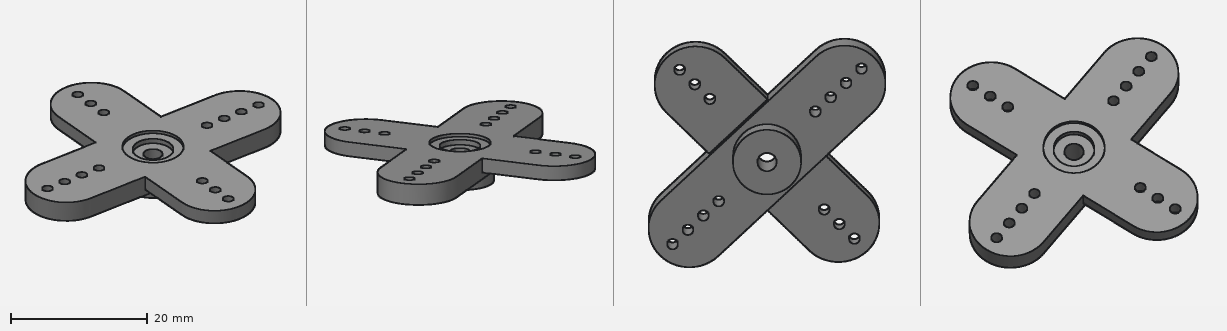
import cadquery as cq

span_x = 42.0
span_y = 43.9
arm_width = 12.05
thickness_x = 2.2
thickness_y = 3.2
total_height = 5.8

hub_diameter = 10.0

recess_diameter = 9.0
recess_depth = 0.5
counterbore_diameter = 6.0
counterbore_depth = 1.27
bore_diameter = 2.8

hole_diameter = 1.6
hole_pitch = 3.15
outer_hole_x = 18.3
outer_hole_y = 19.4
holes_per_x_arm = 3
holes_per_y_arm = 4


def arm_pair(span, thickness, angle):
    """Two opposite arms as one round-ended bar below Z = 0."""
    return cq.Workplane("XY").slot2D(span, arm_width, angle).extrude(-thickness)


def round_cut(diameter, depth):
    """Cylinder on the central axis, reaching down from the top face."""
    return cq.Workplane("XY").circle(diameter / 2).extrude(-depth)


def hole_distances(outer_distance, count):
    """Signed distances from the centre of the holes in two opposite arms."""
    distances = [outer_distance - i * hole_pitch for i in range(count)]
    return distances + [-d for d in distances]


hub = cq.Workplane("XY").circle(hub_diameter / 2).extrude(-total_height)
body = arm_pair(span_x, thickness_x, 0).union(arm_pair(span_y, thickness_y, 90)).union(hub)

body = body.cut(round_cut(recess_diameter, recess_depth))
body = body.cut(round_cut(counterbore_diameter, counterbore_depth))
body = body.cut(round_cut(bore_diameter, total_height))

hole_points = [(x, 0) for x in hole_distances(outer_hole_x, holes_per_x_arm)]
hole_points += [(0, y) for y in hole_distances(outer_hole_y, holes_per_y_arm)]
linkage_holes = cq.Workplane("XY").pushPoints(hole_points).circle(hole_diameter / 2).extrude(-total_height)

result = body.cut(linkage_holes)